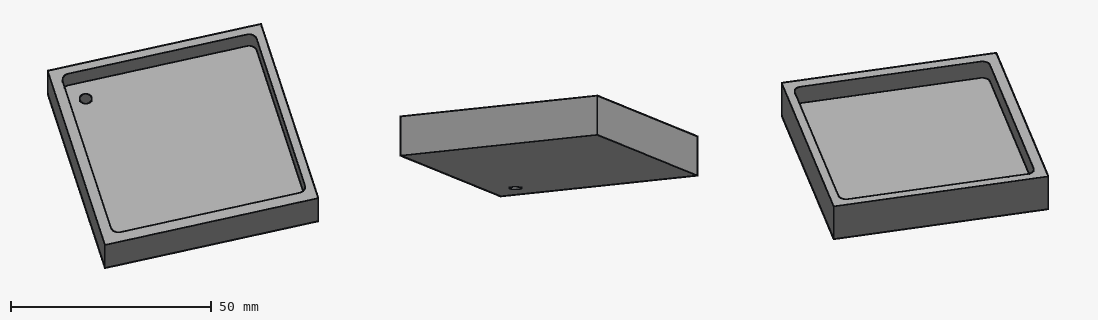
import cadquery as cq

side = 55.0
height = 10.0

pocket_side = 50.0
pocket_shift = 0.3
floor_thickness = 5.0
corner_radius = 2.0

hole_diameter = 3.0
hole_from_left = 7.3
hole_from_front = 7.85

pocket_depth = height - floor_thickness


def make_pocket():
    """Square recess with rounded vertical corners, open at the top."""
    return (
        cq.Workplane("XY")
        .workplane(offset=floor_thickness)
        .center(-pocket_shift, pocket_shift)
        .rect(pocket_side, pocket_side)
        .extrude(pocket_depth)
        .edges("|Z")
        .fillet(corner_radius)
    )


def make_drain_hole():
    """Round through hole near the -X, -Y corner."""
    return (
        cq.Workplane("XY")
        .center(hole_from_left - side / 2, hole_from_front - side / 2)
        .circle(hole_diameter / 2)
        .extrude(height)
    )


block = cq.Workplane("XY").box(side, side, height, centered=(True, True, False))
result = block.cut(make_pocket()).cut(make_drain_hole())